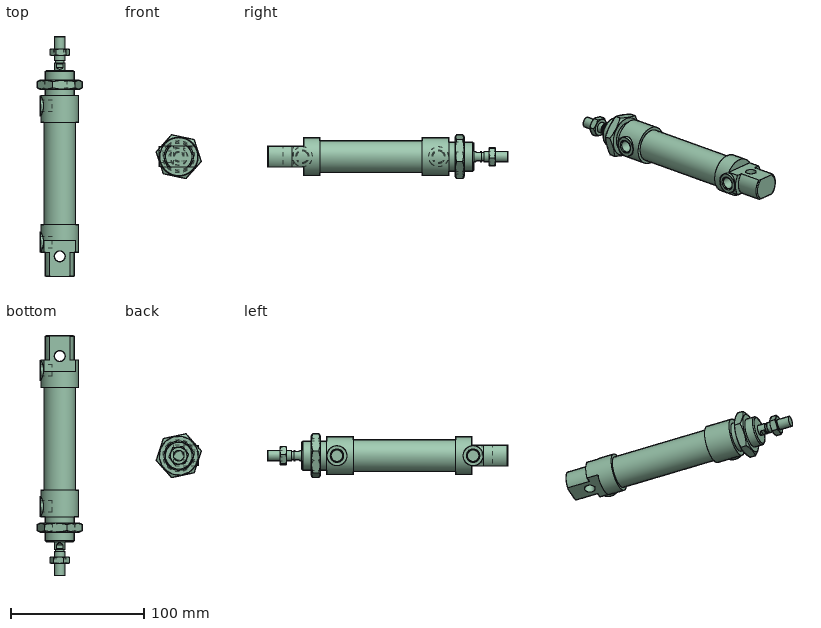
import cadquery as cq
import math


rod_tip_y = 180.0
small_nut_y = 165.8
rod_neck_front_y = 162.0
rod_neck_rear_y = 160.4
nose_front_y = 154.6
large_nut_y = 140.4
head_front_y = 135.9
head_rear_y = 115.7
tube_rear_y = 39.0
flat_front_y = 27.0
cap_rear_y = 18.2
pivot_y = 15.3

cover_diameter = 28.5
tube_diameter = 24.0
nose_diameter = 22.0
nose_chamfer = 0.9
tongue_diameter = 22.0
tongue_chamfer_length = 0.5
tongue_chamfer_depth = 1.0
tongue_thickness = 15.8
pivot_diameter = 8.0

port_boss_diameter = 15.0
port_face_x = -14.8
port_edge_gap = 0.4
port_hole_diameter = 8.6
port_hole_depth = 9.0
port_chamfer = 0.7

rod_diameter = 8.0
rod_neck_diameter = 6.5
wrench_flat_width = 6.3
wrench_flat_front_y = 159.5
wrench_flat_rear_y = 156.8
wrench_ramp_rear_y = 155.5

large_nut_across_flats = 30.0
large_nut_thickness = 7.0
large_nut_turn = -12.0
small_nut_across_flats = 13.0
small_nut_thickness = 5.0
small_nut_turn = -7.0
nut_chamfer_angle = 25.0
nut_face_ratio = 0.97


def rod_section(diameter, rear_y, front_y):
    """Solid cylinder about the Y axis between two stations."""
    return cq.Workplane("XZ", origin=(0, rear_y, 0)).circle(diameter / 2).extrude(rear_y - front_y)


def slabs_outside(thickness, rear_y, front_y):
    """Material above and below a centred band, used to cut a pair of flats."""
    length = front_y - rear_y
    middle_y = (front_y + rear_y) / 2
    block = cq.Workplane("XY").box(2 * cover_diameter, length, 2 * cover_diameter)
    band = cq.Workplane("XY").box(2 * cover_diameter, length, thickness)
    return block.cut(band).translate((0, middle_y, 0))


def port_plane(port_y):
    """Workplane on the outer face of a port, with its normal pointing inward along +X."""
    return cq.Workplane("YZ", origin=(port_face_x, port_y, 0))


def tongue_end_bevel():
    """Ring that bevels the round edge of the rear tongue face."""
    radius = tongue_diameter / 2
    return (
        cq.Workplane("XY")
        .moveTo(radius - tongue_chamfer_depth, 0)
        .lineTo(radius, 0)
        .lineTo(radius, tongue_chamfer_length)
        .close()
        .revolve(360, (0, 0, 0), (0, 1, 0))
    )


def make_cylinder_body():
    nose = rod_section(nose_diameter, head_front_y, nose_front_y).faces(">Y").chamfer(nose_chamfer)
    head = rod_section(cover_diameter, head_rear_y, head_front_y)
    tube = rod_section(tube_diameter, tube_rear_y, head_rear_y)
    cap = rod_section(cover_diameter, cap_rear_y, tube_rear_y)
    tongue = rod_section(tongue_diameter, 0, cap_rear_y)
    tongue = tongue.cut(tongue_end_bevel())
    body = nose.union(head).union(tube).union(cap).union(tongue)
    body = body.cut(slabs_outside(tongue_thickness, 0, flat_front_y))

    port_inset = port_boss_diameter / 2 + port_edge_gap
    port_stations = (head_front_y - port_inset, cap_rear_y + port_inset)
    for port_y in port_stations:
        boss = port_plane(port_y).circle(port_boss_diameter / 2).extrude(-port_face_x)
        body = body.union(boss)
    for port_y in port_stations:
        hole = port_plane(port_y).circle(port_hole_diameter / 2).extrude(port_hole_depth)
        countersink = cq.Workplane("XY").add(
            cq.Solid.makeCone(
                port_hole_diameter / 2 + port_chamfer,
                port_hole_diameter / 2,
                port_chamfer,
                cq.Vector(port_face_x, port_y, 0),
                cq.Vector(1, 0, 0),
            )
        )
        body = body.cut(hole).cut(countersink)

    pivot_hole = (
        cq.Workplane("XY")
        .center(0, pivot_y)
        .circle(pivot_diameter / 2)
        .extrude(tongue_thickness, both=True)
    )
    return body.cut(pivot_hole)


def make_rod():
    shank = rod_section(rod_diameter, nose_front_y, rod_neck_rear_y)
    neck = rod_section(rod_neck_diameter, rod_neck_rear_y, rod_neck_front_y)
    thread = rod_section(rod_diameter, rod_neck_front_y, rod_tip_y)
    rod = shank.union(neck).union(thread)

    flat_z = wrench_flat_width / 2
    surface_z = rod_diameter / 2
    upper_flat = (
        cq.Workplane("YZ")
        .moveTo(wrench_flat_front_y, flat_z)
        .lineTo(wrench_flat_rear_y, flat_z)
        .lineTo(wrench_ramp_rear_y, surface_z)
        .lineTo(wrench_flat_front_y, surface_z)
        .close()
        .extrude(rod_diameter / 2, both=True)
    )
    return rod.cut(upper_flat).cut(upper_flat.mirror("XY"))


def make_nut(across_flats, thickness, bore, turn, rear_y):
    """Hexagon nut on the Y axis with both faces chamfered at the corners."""
    corner_radius = across_flats / 2 / math.cos(math.radians(30))
    face_radius = nut_face_ratio * across_flats / 2
    chamfer_length = (corner_radius - face_radius) * math.tan(math.radians(nut_chamfer_angle))
    hexagon = (
        cq.Workplane("XZ")
        .polygon(6, 2 * corner_radius)
        .extrude(-thickness)
        .rotate((0, 0, 0), (0, 1, 0), -turn)
    )
    chamfered_envelope = (
        cq.Workplane("XY")
        .moveTo(0, 0)
        .lineTo(face_radius, 0)
        .lineTo(corner_radius, chamfer_length)
        .lineTo(corner_radius, thickness - chamfer_length)
        .lineTo(face_radius, thickness)
        .lineTo(0, thickness)
        .close()
        .revolve(360, (0, 0, 0), (0, 1, 0))
    )
    nut = hexagon.intersect(chamfered_envelope).cut(rod_section(bore, 0, thickness))
    return nut.translate((0, rear_y, 0))


cylinder_body = make_cylinder_body()
rod = make_rod()
mounting_nut = make_nut(
    large_nut_across_flats, large_nut_thickness, nose_diameter, large_nut_turn, large_nut_y
)
rod_nut = make_nut(
    small_nut_across_flats, small_nut_thickness, rod_diameter, small_nut_turn, small_nut_y
)

result = cq.Compound.makeCompound(
    [cylinder_body.val(), rod.val(), mounting_nut.val(), rod_nut.val()]
)